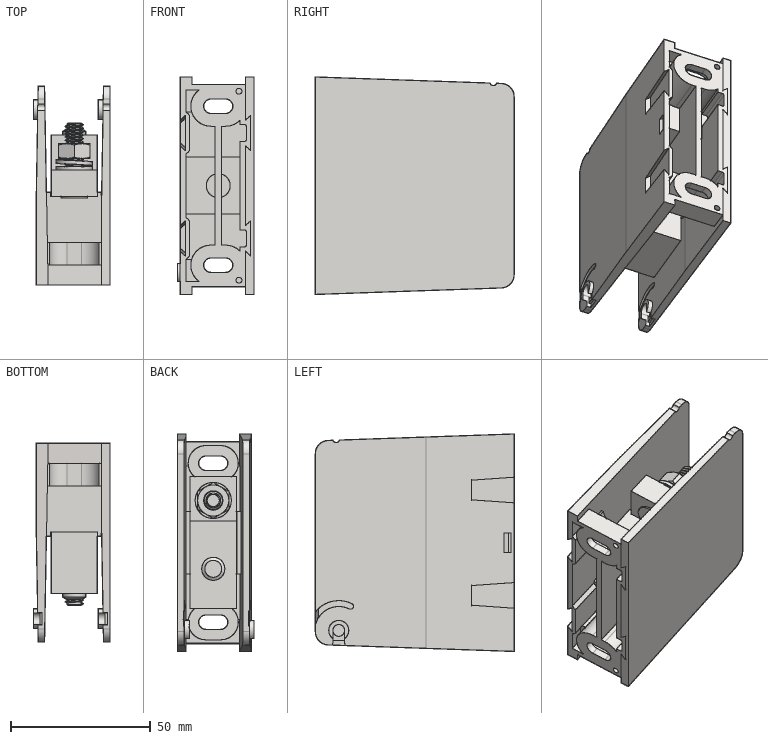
import cadquery as cq
import math

outer_x = 13.3
depth = 71.4
half_height = 39.05
edge_slope = math.tan(math.radians(2.0))
draft = math.tan(math.radians(1.0))
break_y = 31.6
wall_root = 4.3
plate_root = 3.1
plate_x = outer_x - plate_root
corner_radius = 4.85
notch_y = 63.9
notch_radius = 1.25
notch_lift = 0.4

hinge_y = 62.95
hinge_z = -31.5
hinge_radius = 3.6
hub_overhang = 1.0
plate_hub_height = 1.7
hinge_hole_radius = 2.1
hinge_hole_depth = 1.6
throat_width = 4.1
throat_mouth = 5.0
throat_depth = 0.8
mouth_depth = 1.6
groove_inner = 8.6
groove_outer = 10.7
groove_depth = 1.1
groove_lead = 0.4
groove_end_angle = 116.0
groove_ramp_start_y = 70.15
groove_ramp_end_y = 70.7
groove_mouth_depth = 0.4

axis_x = 0.4
skin = 2.0
base_half_height = 36.3
base_depth = 15.4
floor_y = base_depth - skin
pocket_left = -outer_x + skin
pocket_right = plate_x - skin
pocket_half_height = base_half_height - skin
deep_half_height = 26.4
rib_width = 2.2

ear_z = 28.5
slot_radius = 5.1 / 2
slot_half_spacing = 2.65
head_room_radius = 6.3
ear_radius = 7.2
ear_floor = 2.7
ledge_depth = 7.3
shoulder_half_height = 27.5
corner_pocket_depth = ledge_depth - skin
pin_hole_x = 7.8
pin_hole_z = 33.9
pin_hole_diameter = 2.1
pin_hole_depth = 1.95

dovetail_z = 18.9
dovetail_depth = 1.9
dovetail_half_neck = 4.6
dovetail_flare = 1.7
dovetail_taper = 1.1
relief_x = -9.9
relief_half_height = 6.3
tab_core_half = 6.0 / 2
tab_core_x = 10.5
tab_core_fillet = 0.6

latch_start = 1.1
latch_ramp_start = 2.1
latch_end = 3.75
latch_depth = 1.6
latch_height = 7.0

pedestal_depth = 33.4
pedestal_core = 10.2
pedestal_half_height = 11.25
seat_y = 31.9
seat_gap = 0.15
pedestal_floor_y = seat_y - skin
boss_radius = 4.3
boss_length = 4.7

connector_width = 16.55
connector_half_height = 23.7
shelf_y = 41.3
lug_top_y = 54.0
lug_front_z = 7.8

stud_z = 15.15
thread_radius = 3.3
root_radius = 2.65
thread_pitch = 1.25
thread_half_base = 0.5
thread_bite = 0.1
stud_top_y = 58.3
stud_chamfer = 0.5
stud_head_radius = 4.8
stud_head_y = 31.25
stud_head_height = 1.9
head_clearance = 0.2
washer_radius = 6.5
bore_radius = 3.4
washer_top_y = 42.6
coil_thickness = 1.3
coil_pitch = 1.6
nut_flats = 11.2
nut_bottom_y = 45.45
nut_top_y = 50.8
nut_chamfer_angle = 30.0

set_screw_z = -9.4
set_screw_radius = 4.15
set_screw_bottom_y = 43.75
set_screw_top_y = 55.9
set_screw_chamfer_height = 0.7
set_screw_chamfer_width = 1.1


def box(x0, x1, y0, y1, z0, z1):
    return cq.Workplane("XY").box(x1 - x0, y1 - y0, z1 - z0, centered=False).translate((x0, y0, z0))


def rod(radius, x, z, y0, y1):
    """Cylinder along Y."""
    return cq.Workplane("XZ", origin=(x, y0, z)).circle(radius).extrude(y0 - y1)


def disc_x(radius, y, z, x0, x1):
    """Cylinder along X."""
    return cq.Workplane("YZ", origin=(x0, y, z)).circle(radius).extrude(x1 - x0)


def obround(radius, z, y0, y1):
    """Round-ended bar along Y, long across X."""
    length = 2 * (slot_half_spacing + radius)
    return cq.Workplane("XZ", origin=(axis_x, y0, z)).slot2D(length, 2 * radius).extrude(y0 - y1)


def prism_y(points, y0, y1):
    """Polygon in X and Z, extruded along Y."""
    return cq.Workplane("XZ", origin=(0, y0, 0)).polyline(points).close().extrude(y0 - y1)


def edge_z(y):
    return half_height - edge_slope * y


def wall_outline():
    """Side outline shared by both walls, through the full width."""
    points = [(0, -half_height), (depth, -edge_z(depth)), (depth, edge_z(depth)), (0, half_height)]
    outline = cq.Workplane("YZ", origin=(-outer_x, 0, 0)).polyline(points).close().extrude(2 * outer_x)
    outline = outline.edges("|X and >Y").fillet(corner_radius)
    return outline.cut(disc_x(notch_radius, notch_y, edge_z(notch_y) + notch_lift, -outer_x, outer_x))


def wall(section):
    """Wall with the given section in X and Y, trimmed to the side outline."""
    slab = cq.Workplane("XY", origin=(0, 0, -half_height)).polyline(section).close().extrude(2 * half_height)
    return slab.intersect(wall_outline())


def dovetail(face_x, z):
    """Dovetail that widens away from face_x and narrows along Y."""
    def section(y, neck):
        wide = neck + dovetail_flare
        tip_x = face_x + dovetail_depth
        corners = [(face_x, -neck), (tip_x, -wide), (tip_x, wide), (face_x, neck)]
        return cq.Wire.makePolygon([cq.Vector(px, y, z + pz) for px, pz in corners], close=True)

    near = section(0, dovetail_half_neck)
    far = section(base_depth, dovetail_half_neck - dovetail_taper)
    return cq.Workplane(cq.Solid.makeLoft([near, far], True))


def arc_groove(face_x):
    """Arc-shaped groove about the hinge that runs out over the free edge on a rising floor."""
    def at(radius, angle):
        a = math.radians(angle)
        return hinge_y + radius * math.cos(a), hinge_z + radius * math.sin(a)

    middle_radius = (groove_inner + groove_outer) / 2
    end_radius = (groove_outer - groove_inner) / 2
    start_angle = 0.0
    middle_angle = (start_angle + groove_end_angle) / 2
    band = (
        cq.Workplane("YZ", origin=(face_x - groove_lead, 0, 0))
        .moveTo(*at(groove_inner, start_angle))
        .threePointArc(at(groove_inner, middle_angle), at(groove_inner, groove_end_angle))
        .lineTo(*at(groove_outer, groove_end_angle))
        .threePointArc(at(groove_outer, middle_angle), at(groove_outer, start_angle))
        .close()
        .extrude(groove_lead + groove_depth)
    )
    end_y, end_z = at(middle_radius, groove_end_angle)
    floor_x = face_x + groove_depth
    mouth_x = face_x + groove_mouth_depth
    ramp = (
        cq.Workplane("XY", origin=(0, 0, -half_height))
        .polyline([
            (floor_x, groove_ramp_start_y),
            (floor_x, depth),
            (mouth_x, depth),
            (mouth_x, groove_ramp_end_y),
        ])
        .close()
        .extrude(half_height)
    )
    return band.union(disc_x(end_radius, end_y, end_z, face_x - groove_lead, floor_x)).cut(ramp)


def add_hinge(body, face_x, hub_x):
    """Hub with an open bearing hole, and the arc groove around it; face_x is the wall face there."""
    bottom_z = -half_height
    hub_bottom_z = hinge_z - hinge_radius
    body = body.union(disc_x(hinge_radius, hinge_y, hinge_z, hub_x, face_x + throat_depth))
    body = body.cut(disc_x(hinge_hole_radius, hinge_y, hinge_z, hub_x, face_x + hinge_hole_depth))
    throat = box(
        hub_x, face_x + throat_depth,
        hinge_y - throat_width / 2, hinge_y + throat_width / 2, hub_bottom_z, hinge_z,
    )
    mouth = (
        cq.Workplane("YZ", origin=(hub_x, 0, 0))
        .polyline([
            (hinge_y - throat_width / 2, hub_bottom_z),
            (hinge_y + throat_width / 2, hub_bottom_z),
            (hinge_y + throat_mouth / 2, bottom_z),
            (hinge_y - throat_mouth / 2, bottom_z),
        ])
        .close()
        .extrude(face_x + mouth_depth - hub_x)
    )
    return body.cut(throat).cut(mouth).cut(arc_groove(face_x))


def ear(side):
    """Solid around one mounting slot, filled out to the right-hand base corner."""
    z = side * ear_z
    body = obround(ear_radius, z, 0, floor_y)
    z_near, z_far = sorted((z, side * pocket_half_height))
    corner = box(axis_x + slot_half_spacing, pocket_right, 0, floor_y, z_near, z_far)
    return body.union(corner)


def front_pocket():
    """Hollow of the base, open to the mounting face, less the ears and the centre rib."""
    pocket = box(
        pocket_left, pocket_right, 0, corner_pocket_depth, -pocket_half_height, pocket_half_height,
    )
    deep = box(pocket_left, pocket_right, 0, floor_y, -deep_half_height, deep_half_height)
    core = box(pocket_left, pocket_right, 0, pedestal_floor_y, -pedestal_core, pedestal_core)
    pocket = pocket.union(deep).union(core)
    for side in (1, -1):
        z = side * dovetail_z
        wide = relief_half_height + relief_x - pocket_left
        relief = [
            (pocket_left, z - wide),
            (relief_x, z - relief_half_height),
            (relief_x, z + relief_half_height),
            (pocket_left, z + wide),
        ]
        pocket = pocket.cut(prism_y(relief, 0, floor_y))
        tab_core = box(pocket_right, tab_core_x, 0, floor_y, z - tab_core_half, z + tab_core_half)
        pocket = pocket.union(tab_core.edges("|Y and >X").fillet(tab_core_fillet))
        pocket = pocket.cut(ear(side))
    rib_left = axis_x - rib_width / 2
    rib = box(rib_left, rib_left + rib_width, 0, pedestal_floor_y, -ear_z, ear_z)
    boss = rod(boss_radius, axis_x, 0, pedestal_floor_y - boss_length, pedestal_floor_y)
    return pocket.cut(rib).cut(boss)


def latch_recess():
    """Recess with a flat floor that ramps back up to the wall face."""
    floor_x = -outer_x + latch_depth
    points = [
        (-outer_x, latch_start),
        (-outer_x, latch_end),
        (floor_x, latch_ramp_start),
        (floor_x, latch_start),
    ]
    outline = cq.Workplane("XY", origin=(0, 0, -latch_height / 2)).polyline(points).close()
    return outline.extrude(latch_height)


def make_housing():
    tip_shift = draft * (depth - break_y)
    body = wall([
        (-outer_x, 0),
        (-outer_x, break_y),
        (-outer_x + tip_shift, depth),
        (-outer_x + wall_root - draft * depth, depth),
        (-outer_x + wall_root, 0),
    ])
    ledge_end_z = base_half_height - edge_slope * ledge_depth
    base = (
        cq.Workplane("YZ", origin=(pocket_left, 0, 0))
        .polyline([
            (0, -base_half_height),
            (ledge_depth, -ledge_end_z),
            (ledge_depth, ledge_end_z),
            (0, base_half_height),
        ])
        .close()
        .extrude(plate_x - pocket_left)
    )
    base = base.union(box(pocket_left, plate_x, 0, base_depth, -shoulder_half_height, shoulder_half_height))
    pedestal = box(pocket_left, plate_x, 0, pedestal_depth, -pedestal_half_height, pedestal_half_height)
    body = body.union(base).union(pedestal)
    connector_left = axis_x - connector_width / 2
    body = body.cut(box(
        connector_left - seat_gap, connector_left + connector_width, seat_y, pedestal_depth,
        -pedestal_half_height, pedestal_half_height,
    ))
    body = body.cut(rod(stud_head_radius + head_clearance, axis_x, stud_z, stud_head_y, seat_y))
    for side in (1, -1):
        body = body.union(dovetail(plate_x, side * dovetail_z))
        body = body.cut(dovetail(-outer_x, side * dovetail_z))
    body = body.cut(front_pocket())
    for side in (1, -1):
        z = side * ear_z
        body = body.cut(obround(head_room_radius, z, ear_floor, base_depth))
        body = body.cut(obround(slot_radius, z, 0, ear_floor))
        body = body.cut(rod(pin_hole_diameter / 2, pin_hole_x, side * pin_hole_z, 0, pin_hole_depth))
    body = body.cut(latch_recess())
    hinge_face = -outer_x + draft * (hinge_y - break_y)
    return add_hinge(body, hinge_face, -outer_x - hub_overhang)


def make_end_plate():
    tip_shift = draft * (depth - break_y)
    body = wall([
        (plate_x, 0),
        (plate_x, break_y),
        (plate_x + tip_shift, depth),
        (outer_x, depth),
        (outer_x, 0),
    ])
    for side in (1, -1):
        body = body.cut(dovetail(plate_x, side * dovetail_z))
    hinge_face = plate_x + draft * (hinge_y - break_y)
    return add_hinge(body, hinge_face, hinge_face - plate_hub_height)


def make_connector():
    left = axis_x - connector_width / 2
    right = left + connector_width
    body = box(left, right, seat_y, shelf_y, -connector_half_height, connector_half_height)
    body = body.union(box(left, right, seat_y, lug_top_y, -connector_half_height, lug_front_z))
    body = body.cut(rod(root_radius, axis_x, stud_z, seat_y, shelf_y))
    body = body.cut(rod(stud_head_radius, axis_x, stud_z, seat_y, stud_head_y + stud_head_height))
    return body.cut(rod(set_screw_radius, axis_x, set_screw_z, set_screw_bottom_y, lug_top_y))


def stand_up(body, z, y):
    """Turn a body built along its own Z axis to run along Y at the given place."""
    return body.rotate((0, 0, 0), (1, 0, 0), -90).translate((axis_x, y, z))


def make_stud():
    core = rod(root_radius, axis_x, stud_z, stud_head_y, stud_top_y).faces(">Y").chamfer(stud_chamfer)
    head = rod(stud_head_radius, axis_x, stud_z, stud_head_y, stud_head_y + stud_head_height)
    thread_start_y = shelf_y + thread_pitch
    thread_end_y = stud_top_y - thread_pitch / 2
    path = cq.Workplane(cq.Wire.makeHelix(thread_pitch, thread_end_y - thread_start_y, root_radius))
    root_x = root_radius - thread_bite
    ridge = (
        cq.Workplane("XZ")
        .polyline([(root_x, -thread_half_base), (thread_radius, 0), (root_x, thread_half_base)])
        .close()
        .sweep(path, isFrenet=True)
    )
    return core.union(head).union(stand_up(ridge, stud_z, thread_start_y))


def make_flat_washer():
    ring = rod(washer_radius, axis_x, stud_z, shelf_y, washer_top_y)
    return ring.cut(rod(bore_radius, axis_x, stud_z, shelf_y, washer_top_y))


def make_lock_washer():
    """One turn of a rectangular coil, split at the side facing the lug."""
    path = cq.Workplane(cq.Wire.makeHelix(coil_pitch, coil_pitch, bore_radius, lefthand=True))
    coil = (
        cq.Workplane("XZ")
        .moveTo(bore_radius, 0)
        .lineTo(washer_radius, 0)
        .lineTo(washer_radius, coil_thickness)
        .lineTo(bore_radius, coil_thickness)
        .close()
        .sweep(path, isFrenet=True)
        .rotate((0, 0, 0), (0, 0, 1), 90)
    )
    return stand_up(coil, stud_z, washer_top_y)


def make_nut():
    """Hexagon nut with a corner toward +Z and its corners chamfered at both ends."""
    hexagon_radius = nut_flats / math.sqrt(3)
    height = nut_top_y - nut_bottom_y
    chamfer = (hexagon_radius - nut_flats / 2) * math.tan(math.radians(nut_chamfer_angle))
    prism = cq.Workplane("XY").polygon(6, 2 * hexagon_radius).extrude(height)
    prism = prism.rotate((0, 0, 0), (0, 0, 1), 90)
    envelope = (
        cq.Workplane("XZ")
        .polyline([
            (bore_radius, 0), (nut_flats / 2, 0), (hexagon_radius, chamfer),
            (hexagon_radius, height - chamfer), (nut_flats / 2, height), (bore_radius, height),
        ])
        .close()
        .revolve(360, (0, 0, 0), (0, 1, 0))
    )
    return stand_up(prism.intersect(envelope), stud_z, nut_bottom_y)


def make_set_screw():
    screw = rod(set_screw_radius, axis_x, set_screw_z, set_screw_bottom_y, set_screw_top_y)
    return screw.faces(">Y").chamfer(set_screw_chamfer_height, set_screw_chamfer_width)


housing = make_housing()
end_plate = make_end_plate()
connector = make_connector()
stud = make_stud()
flat_washer = make_flat_washer()
lock_washer = make_lock_washer()
nut = make_nut()
set_screw = make_set_screw()

result = cq.Compound.makeCompound([
    housing.val(),
    end_plate.val(),
    connector.val(),
    stud.val(),
    flat_washer.val(),
    lock_washer.val(),
    nut.val(),
    set_screw.val(),
])